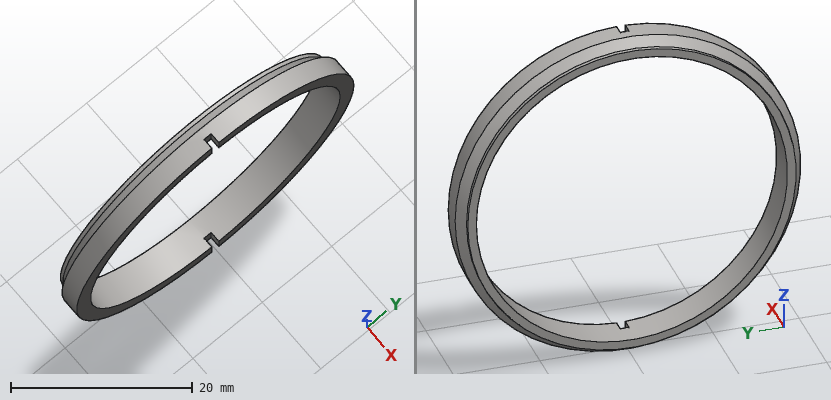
import cadquery as cq

outer_diameter = 40.0
lip_diameter = 38.0
bore_diameter = 36.0
width = 4.0
lip_width = 0.5
bevel_width = (outer_diameter - lip_diameter) / 2

notch_width = 1.0
notch_depth = 1.3

outer_radius = outer_diameter / 2
lip_radius = lip_diameter / 2
bore_radius = bore_diameter / 2
left_x = -width / 2
right_x = width / 2


def make_ring():
    """Revolve the wall section: narrow lip, bevel, then full diameter."""
    bevel_start_x = left_x + lip_width
    section = [
        (left_x, bore_radius),
        (left_x, lip_radius),
        (bevel_start_x, lip_radius),
        (bevel_start_x + bevel_width, outer_radius),
        (right_x, outer_radius),
        (right_x, bore_radius),
    ]
    return cq.Workplane("XY").polyline(section).close().revolve(360, (0, 0, 0), (1, 0, 0))


def make_notches():
    """One bar across the full diameter cuts both opposite notches."""
    return cq.Workplane("XY").box(notch_depth, notch_width, outer_diameter).translate(
        (right_x - notch_depth / 2, 0, 0)
    )


result = make_ring().cut(make_notches())